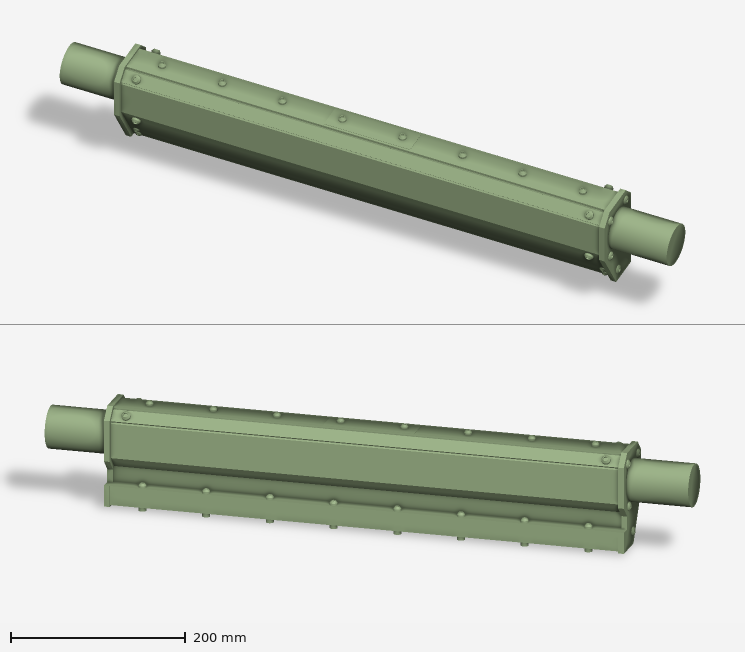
import cadquery as cq
import math

overall_length = 767.0
shaft_diameter = 50.5

corner_leg = 14.0
slope_angle = 60.0
foot_top_z = -53.0

plate_thickness = 7.0
plate_outer_x = 310.0
plate_width = 71.0
plate_top_z = 39.0
plate_bottom_z = -78.0
plate_side_bottom_z = -24.0

body_width = 62.0
body_top_z = 34.5
body_bottom_z = -76.0
body_side_bottom_z = -21.0
body_foot_y = 35.0

strip_thickness = 2.0
top_strip_width = 35.0
corner_strip_width = 15.0
label_length = 109.0
label_width = 30.0
label_thickness = 0.45

cover_screw = (9.0, 5.0, 4.5, 2.0)
corner_screw = (11.0, 5.0, 4.5, 2.0)
plate_screw = (11.0, 2.7, 4.5, 1.5)
small_screw = (7.6, 2.7, 3.0, 1.5)
nut_height = 5.0
embed = 1.5

screw_count = 8
screw_pitch = 76.0
corner_screw_x = 286.0
small_screw_x = 294.5
small_screw_levels = (-61.0, -71.0)
slope_screw_z = -30.0
foot_screw_y = 29.0
plate_screw_spots = ((-21.0, 25.0), (21.0, 25.0), (-21.0, -27.0), (16.0, -27.0), (0, -62.0))

body_end_x = plate_outer_x - plate_thickness
screw_xs = [(i - (screw_count - 1) / 2) * screw_pitch for i in range(screw_count)]
slope_ratio = math.tan(math.radians(slope_angle))
strip_centre_y = (body_width - corner_leg) / 2
strip_centre_z = body_top_z - corner_leg / 2


def prism(points, start_x, end_x):
    """Extrude a (y, z) outline along X."""
    return cq.Workplane("YZ", origin=(start_x, 0, 0)).polyline(points).close().extrude(end_x - start_x)


def section(width, top_z, side_bottom_z, foot_y, bottom_z):
    """Head with 45 degree corners, a neck and foot towards +Y, and a sloping -Y face."""
    half_width = width / 2
    inner_y = half_width - corner_leg
    slope_end_y = -half_width + (side_bottom_z - bottom_z) / slope_ratio
    return [
        (-inner_y, top_z),
        (inner_y, top_z),
        (half_width, top_z - corner_leg),
        (half_width, side_bottom_z),
        (inner_y, side_bottom_z - corner_leg),
        (inner_y, foot_top_z),
        (foot_y, foot_top_z),
        (foot_y, bottom_z),
        (slope_end_y, bottom_z),
        (-half_width, side_bottom_z),
        (-half_width, top_z - corner_leg),
    ]


def screw_head(size, position, normal):
    """Button head with a hexagon socket, seated at position and facing along normal."""
    diameter, height, socket_width, socket_depth = size
    rim_height = height / 2
    rim_inset = diameter / 5
    plane = cq.Plane(origin=position, xDir=(1, 0, 0) if normal[0] == 0 else (0, 1, 0), normal=normal)
    head = cq.Workplane(plane).workplane(offset=-embed).circle(diameter / 2).extrude(embed + height)
    head = head.faces(cq.selectors.DirectionMinMaxSelector(cq.Vector(*normal))).edges()
    head = head.chamfer(rim_height, rim_inset)
    socket = (
        cq.Workplane(plane)
        .workplane(offset=height - socket_depth)
        .polygon(6, socket_width, circumscribed=True)
        .extrude(socket_depth)
    )
    return head.cut(socket)


def corner_strip(side):
    """Flat strip lying on a 45 degree upper corner; side is -1 or 1 in Y."""
    centre = (0, side * strip_centre_y, strip_centre_z)
    plane = cq.Plane(origin=centre, xDir=(1, 0, 0), normal=(0, side, 1))
    return (
        cq.Workplane(plane)
        .workplane(offset=-embed)
        .rect(2 * body_end_x, corner_strip_width)
        .extrude(embed + strip_thickness)
    )


body_outline = section(body_width, body_top_z, body_side_bottom_z, body_foot_y, body_bottom_z)
plate_outline = section(plate_width, plate_top_z, plate_side_bottom_z, plate_width / 2, plate_bottom_z)
result = prism(body_outline, -body_end_x, body_end_x)
result = result.union(prism(plate_outline, body_end_x, plate_outer_x))
result = result.union(prism(plate_outline, -plate_outer_x, -body_end_x))
result = result.union(
    cq.Workplane("YZ", origin=(-overall_length / 2, 0, 0)).circle(shaft_diameter / 2).extrude(overall_length)
)

cover_top_z = body_top_z + strip_thickness
top_strip = cq.Workplane("XY", origin=(0, 0, body_top_z - embed)).rect(2 * body_end_x, top_strip_width)
result = result.union(top_strip.extrude(embed + strip_thickness))
label = cq.Workplane("XY", origin=(0, 0, cover_top_z - embed)).rect(label_length, label_width)
result = result.union(label.extrude(embed + label_thickness))
for side in (-1, 1):
    result = result.union(corner_strip(side))

for x in screw_xs:
    result = result.union(screw_head(cover_screw, (x, 0, cover_top_z), (0, 0, 1)))
    result = result.union(screw_head(cover_screw, (x, foot_screw_y, foot_top_z), (0, 0, 1)))
    nut = cq.Workplane("XY", origin=(x, foot_screw_y, body_bottom_z - nut_height)).circle(cover_screw[0] / 2)
    result = result.union(nut.extrude(nut_height + embed))

slope_normal = (0, -math.sin(math.radians(slope_angle)), -math.cos(math.radians(slope_angle)))
strip_lift = strip_thickness / math.sqrt(2)
for end in (-1, 1):
    for side in (-1, 1):
        spot = (
            end * corner_screw_x,
            side * (strip_centre_y + strip_lift),
            strip_centre_z + strip_lift,
        )
        result = result.union(screw_head(corner_screw, spot, (0, side, 1)))
    slope_screws = [(corner_screw, corner_screw_x, slope_screw_z)]
    slope_screws += [(small_screw, small_screw_x, z) for z in small_screw_levels]
    for size, x, z in slope_screws:
        y = -body_width / 2 + (body_side_bottom_z - z) / slope_ratio
        result = result.union(screw_head(size, (end * x, y, z), slope_normal))
    for y, z in plate_screw_spots:
        result = result.union(screw_head(plate_screw, (end * plate_outer_x, y, z), (end, 0, 0)))